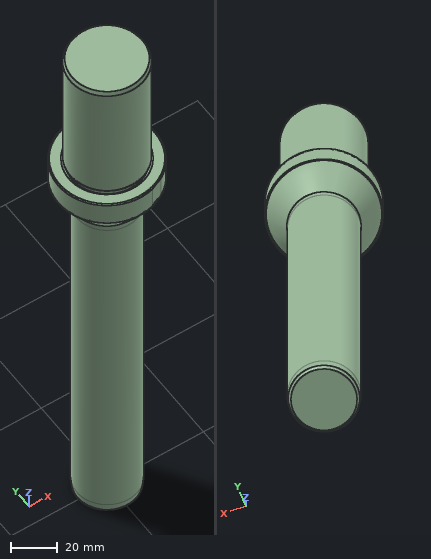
import cadquery as cq
import math

total_height = 295.2

plug_diameter = 38.0
plug_radius = plug_diameter / 2
plug_bottom = 227.3
plug_top_chamfer_height = 2.0
plug_top_chamfer_width = 1.0
plug_bottom_chamfer = 1.0
neck_radius = plug_radius - plug_bottom_chamfer

collar_radius = 25.5
collar_top = 225.8
collar_bottom = 213.0
collar_chamfer = 0.5
flat_width = 6.8
flat_direction = -67.0
flat_distance = math.sqrt(collar_radius**2 - (flat_width / 2) ** 2)
recess_mouth_radius = 19.8
recess_depth = recess_mouth_radius - neck_radius
recess_floor = collar_top - recess_depth

shoulder_top_radius = 24.8
shoulder_bottom_radius = 16.0
shoulder_bottom = 199.0
shoulder_bulge = 0.5

shank_diameter = 31.5
shank_radius = shank_diameter / 2
shank_top = 196.0
tip_top = 5.5
tip_radius = 15.3
tip_chamfer_height = 1.2
tip_chamfer_width = 1.2


def revolve_profile(profile):
    """Turn a closed radius-height profile about the Z axis."""
    return profile.close().revolve(360, (0, 0), (0, 1))


def make_plug():
    profile = (
        cq.Workplane("XZ")
        .moveTo(0, recess_floor)
        .lineTo(neck_radius, recess_floor)
        .lineTo(neck_radius, plug_bottom - plug_bottom_chamfer)
        .lineTo(plug_radius, plug_bottom)
        .lineTo(plug_radius, total_height - plug_top_chamfer_height)
        .lineTo(plug_radius - plug_top_chamfer_width, total_height)
        .lineTo(0, total_height)
    )
    return revolve_profile(profile)


def make_collar_flat_cutter():
    """Block whose inner face leaves a narrow flat on the collar's rim."""
    block_depth = collar_radius
    return (
        cq.Workplane("XY", origin=(0, 0, collar_bottom))
        .center(flat_distance + block_depth / 2, 0)
        .rect(block_depth, 2 * flat_width)
        .extrude(collar_top - collar_bottom)
        .rotate((0, 0, 0), (0, 0, 1), flat_direction)
    )


def make_holder():
    profile = (
        cq.Workplane("XZ")
        .lineTo(tip_radius - tip_chamfer_width, 0)
        .lineTo(tip_radius, tip_chamfer_height)
        .lineTo(shank_radius, tip_top)
        .lineTo(shank_radius, shank_top)
        .lineTo(shoulder_bottom_radius, shoulder_bottom)
        .sagittaArc((shoulder_top_radius, collar_bottom), -shoulder_bulge)
        .lineTo(collar_radius, collar_bottom)
        .lineTo(collar_radius, collar_top - collar_chamfer)
        .lineTo(collar_radius - collar_chamfer, collar_top)
        .lineTo(recess_mouth_radius, collar_top)
        .lineTo(neck_radius, recess_floor)
        .lineTo(0, recess_floor)
    )
    return revolve_profile(profile).cut(make_collar_flat_cutter())


plug = make_plug()
holder = make_holder()

result = cq.Compound.makeCompound([plug.val(), holder.val()])